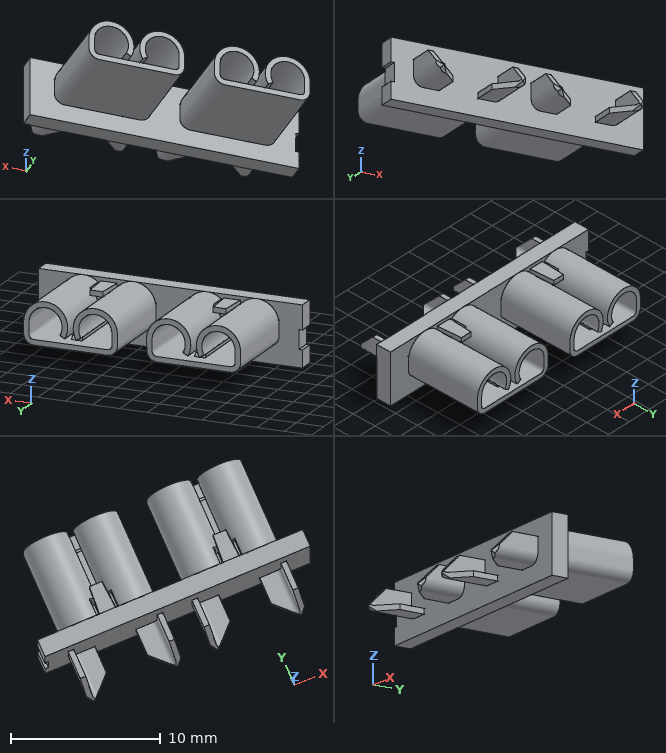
import cadquery as cq
import math


plate_length = 19.3
plate_thickness = 1.27
plate_height = 4.45
key_depth = 0.25
key_height = 1.39

receptacle_count = 2
receptacle_pitch = 9.0
first_receptacle_left = 1.7
receptacle_width = 6.87
receptacle_height = 3.17
receptacle_length = 6.35
sheet = 0.4
inner_bend = 0.35
outer_bend = inner_bend + sheet
roll_gap = 0.4
curl_under_angle = 30
roll_radius = (receptacle_width - roll_gap) / 4
half_width = receptacle_width / 2
receptacle_bottom = plate_height - receptacle_height

pad_width = 0.77
pad_length = 5.33
pad_rise = 0.23

window_width = 1.58
window_length = 1.31

tail_length = 3.47
tail_foot_width = 1.95
tail_wall_height = 1.87

tab_length = 2.07
tab_root_width = 1.2
tab_end_width = 0.93
tab_thickness = 0.39
tab_drop = 0.27

receptacle_centers = [
    first_receptacle_left + half_width + i * receptacle_pitch for i in range(receptacle_count)
]


def bend_midpoint(radius):
    """Middle of a quarter bend at the lower left corner, measured from the bend's own corner."""
    return radius * (1 - math.sqrt(0.5))


def make_receptacle(center_x):
    """Floor and two rolled sides from one sheet, standing on the back of the plate."""
    wall_out = -half_width
    wall_in = wall_out + sheet
    roll_center_x = wall_out + roll_radius
    roll_center_z = receptacle_height - roll_radius
    across = math.cos(math.radians(curl_under_angle))
    below = math.sin(math.radians(curl_under_angle))
    roll_inner_radius = roll_radius - sheet
    free_edge_out = (roll_center_x + roll_radius * across, roll_center_z - roll_radius * below)
    free_edge_in = (
        roll_center_x + roll_inner_radius * across,
        roll_center_z - roll_inner_radius * below,
    )
    outer_mid = bend_midpoint(outer_bend)
    inner_mid = bend_midpoint(inner_bend)

    left_half = (
        cq.Workplane("XZ")
        .moveTo(0, 0)
        .lineTo(wall_out + outer_bend, 0)
        .threePointArc((wall_out + outer_mid, outer_mid), (wall_out, outer_bend))
        .lineTo(wall_out, roll_center_z)
        .threePointArc((roll_center_x, receptacle_height), free_edge_out)
        .lineTo(*free_edge_in)
        .threePointArc((roll_center_x, receptacle_height - sheet), (wall_in, roll_center_z))
        .lineTo(wall_in, outer_bend)
        .threePointArc((wall_in + inner_mid, sheet + inner_mid), (wall_out + outer_bend, sheet))
        .lineTo(0, sheet)
        .close()
        .extrude(-receptacle_length)
    )
    body = left_half.union(left_half.mirror("YZ"))

    window = cq.Workplane("XY").box(
        window_width, window_length, receptacle_height, centered=(True, False, False)
    )
    body = body.cut(window.translate((0, 0, sheet)))

    pad = (
        cq.Workplane("YZ")
        .moveTo(0, 0)
        .lineTo(pad_length, 0)
        .lineTo(pad_length, sheet)
        .lineTo(pad_length - pad_rise, sheet + pad_rise)
        .lineTo(0, sheet + pad_rise)
        .close()
        .extrude(pad_width / 2, both=True)
    )
    return body.union(pad).translate((center_x, plate_thickness, receptacle_bottom))


def pointed_bar(plane):
    """Bar along Y with a 45 degree point on the tail tip, centred on the tail's inner faces."""
    return (
        cq.Workplane(plane)
        .polyline([
            (sheet, -tail_length),
            (sheet + tail_length, 0),
            (sheet + tail_length, plate_thickness),
            (sheet - tail_length, plate_thickness),
            (sheet - tail_length, 0),
        ])
        .close()
        .extrude(tail_length, both=True)
    )


def make_left_tail():
    """L-shaped tail with its outer corner at the origin, its wall on the left."""
    outer_mid = bend_midpoint(outer_bend)
    inner_mid = bend_midpoint(inner_bend)
    bar = (
        cq.Workplane("XZ", origin=(0, plate_thickness, 0))
        .moveTo(tail_foot_width, 0)
        .lineTo(outer_bend, 0)
        .threePointArc((outer_mid, outer_mid), (0, outer_bend))
        .lineTo(0, tail_wall_height)
        .lineTo(sheet, tail_wall_height)
        .lineTo(sheet, outer_bend)
        .threePointArc((sheet + inner_mid, sheet + inner_mid), (outer_bend, sheet))
        .lineTo(tail_foot_width, sheet)
        .close()
        .extrude(plate_thickness + tail_length)
    )
    return bar.intersect(pointed_bar("XY")).intersect(pointed_bar("ZY"))


def make_tails():
    """A left tail and its mirror image below the outer corners of every receptacle."""
    left_tail = make_left_tail()
    right_tail = left_tail.mirror("YZ")
    placed = []
    for center_x in receptacle_centers:
        placed.append(left_tail.translate((center_x - half_width, 0, receptacle_bottom)))
        placed.append(right_tail.translate((center_x + half_width, 0, receptacle_bottom)))
    return placed


def make_tab(center_x):
    """Tapered tab reaching back from the plate."""
    return (
        cq.Workplane("XY", origin=(center_x, plate_thickness, plate_height - tab_drop))
        .polyline([
            (-tab_root_width / 2, 0),
            (tab_root_width / 2, 0),
            (tab_end_width / 2, tab_length),
            (-tab_end_width / 2, tab_length),
        ])
        .close()
        .extrude(-tab_thickness)
    )


def make_plate(tails):
    """Plate with a key notch in its left end, a tab per receptacle and a slot per tail."""
    body = cq.Workplane("XY").box(plate_length, plate_thickness, plate_height, centered=False)
    key = cq.Workplane("XY").box(key_depth, plate_thickness, key_height, centered=False)
    body = body.cut(key.translate((0, 0, receptacle_bottom)))
    for center_x in receptacle_centers:
        body = body.union(make_tab(center_x))
    for tail in tails:
        body = body.cut(tail)
    return body


receptacles = [make_receptacle(center_x) for center_x in receptacle_centers]
tails = make_tails()
plate = make_plate(tails)

result = cq.Compound.makeCompound([
    plate.solids().val(),
    *[receptacle.solids().val() for receptacle in receptacles],
    *[tail.solids().val() for tail in tails],
])